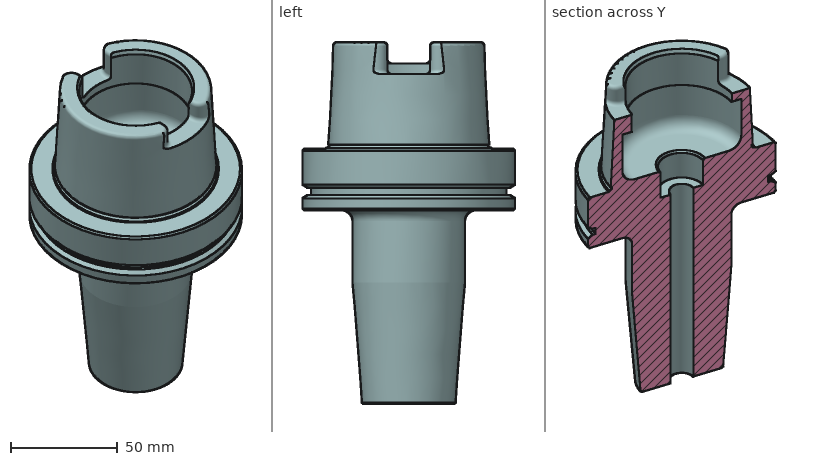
import cadquery as cq
import math


TAPER_TOP = 50.0
GAUGE_DIAMETER = 75.0
GAUGE_Z = 10.0
TAPER_BOTTOM = 2.0
TAPER_RATE = 1 / 20
RIM_ROUND = 2.0

NECK_DIAMETER = 74.6
NECK_FILLET = 1.4
NECK_CHAMFER = 0.4

FLANGE_DIAMETER = 100.0
FLANGE_THICKNESS = 29.0
FLANGE_CHAMFER = 1.0
GROOVE_DIAMETER = 92.0
GROOVE_CENTRE_Z = -20.1
GROOVE_FLOOR_WIDTH = 3.2
GROOVE_MOUTH_WIDTH = 6.4
GROOVE_LIP_RADIUS = 47.5

SHANK_DIAMETER = 53.0
SHANK_FILLET = 5.0
SHANK_TAPER_START = -63.0
SHANK_BOTTOM = -120.0
SHANK_TAPER_ANGLE = 4.5
SHANK_CHAMFER = 0.8

MOUTH_DIAMETER = 53.0
MOUTH_CHAMFER_WIDTH = 1.0
MOUTH_CHAMFER_DEPTH = 2.0
CHAMBER_DIAMETER = 63.0
CHAMBER_TOP = 30.0
CHAMBER_FLOOR = 2.8
CHAMBER_FILLET = 6.5
SEAT_DIAMETER = 22.5
SEAT_MOUTH_DIAMETER = 24.5
SEAT_DEPTH = 15.0
COOLANT_DIAMETER = 12.0

SLOT_WIDTH = 20.0
SLOT_CORNER_RADIUS = 5.0
SLOT_CORNER_X = 27.1
SLOT_ROUND = 2.0
SLOT_FLOOR_NEGATIVE_X = 35.0
SLOT_FLOOR_POSITIVE_X = 40.0


def taper_radius(z):
    return GAUGE_DIAMETER / 2 - (z - GAUGE_Z) * TAPER_RATE


def make_outer_body():
    flange_radius = FLANGE_DIAMETER / 2
    flange_bottom = -FLANGE_THICKNESS
    groove_radius = GROOVE_DIAMETER / 2
    groove_floor_half = GROOVE_FLOOR_WIDTH / 2
    groove_mouth_half = GROOVE_MOUTH_WIDTH / 2
    shank_radius = SHANK_DIAMETER / 2
    taper_drop = SHANK_TAPER_START - SHANK_BOTTOM
    tip_slope = math.tan(math.radians(SHANK_TAPER_ANGLE))
    tip_radius = shank_radius - taper_drop * tip_slope
    fillet_diagonal = math.sqrt(0.5)

    neck_radius = NECK_DIAMETER / 2
    neck_fillet_x = neck_radius + NECK_FILLET
    neck_fillet_z = NECK_CHAMFER + NECK_FILLET
    shank_fillet_x = shank_radius + SHANK_FILLET
    shank_fillet_z = flange_bottom - SHANK_FILLET

    rim_round_z = TAPER_TOP - RIM_ROUND
    rim_radius = taper_radius(rim_round_z)

    profile = (
        cq.Workplane("XZ")
        .moveTo(0, TAPER_TOP)
        .lineTo(rim_radius - RIM_ROUND, TAPER_TOP)
        .tangentArcPoint((rim_radius, rim_round_z), relative=False)
        .lineTo(taper_radius(TAPER_BOTTOM), TAPER_BOTTOM)
        .lineTo(neck_radius, neck_fillet_z)
        .threePointArc(
            (neck_fillet_x - NECK_FILLET * fillet_diagonal, neck_fillet_z - NECK_FILLET * fillet_diagonal),
            (neck_fillet_x, neck_fillet_z - NECK_FILLET),
        )
        .lineTo(neck_fillet_x + NECK_CHAMFER, 0)
        .lineTo(flange_radius - FLANGE_CHAMFER, 0)
        .lineTo(flange_radius, -FLANGE_CHAMFER)
        .lineTo(flange_radius, GROOVE_CENTRE_Z + groove_mouth_half)
        .lineTo(GROOVE_LIP_RADIUS, GROOVE_CENTRE_Z + groove_floor_half)
        .lineTo(groove_radius, GROOVE_CENTRE_Z + groove_floor_half)
        .lineTo(groove_radius, GROOVE_CENTRE_Z - groove_floor_half)
        .lineTo(GROOVE_LIP_RADIUS, GROOVE_CENTRE_Z - groove_floor_half)
        .lineTo(flange_radius, GROOVE_CENTRE_Z - groove_mouth_half)
        .lineTo(flange_radius, flange_bottom + FLANGE_CHAMFER)
        .lineTo(flange_radius - FLANGE_CHAMFER, flange_bottom)
        .lineTo(shank_fillet_x, flange_bottom)
        .threePointArc(
            (shank_fillet_x - SHANK_FILLET * fillet_diagonal, shank_fillet_z + SHANK_FILLET * fillet_diagonal),
            (shank_radius, shank_fillet_z),
        )
        .lineTo(shank_radius, SHANK_TAPER_START)
        .lineTo(tip_radius + SHANK_CHAMFER * tip_slope, SHANK_BOTTOM + SHANK_CHAMFER)
        .lineTo(tip_radius - SHANK_CHAMFER, SHANK_BOTTOM)
        .lineTo(0, SHANK_BOTTOM)
        .close()
    )
    return profile.revolve(360, (0, 0, 0), (0, 1, 0))


def make_interior():
    mouth_radius = MOUTH_DIAMETER / 2
    chamber_radius = CHAMBER_DIAMETER / 2
    chamber_fillet_x = chamber_radius - CHAMBER_FILLET
    chamber_fillet_z = CHAMBER_FLOOR + CHAMBER_FILLET
    fillet_diagonal = CHAMBER_FILLET * math.sqrt(0.5)
    seat_radius = SEAT_DIAMETER / 2
    seat_mouth_radius = SEAT_MOUTH_DIAMETER / 2
    seat_chamfer = seat_mouth_radius - seat_radius
    seat_floor = CHAMBER_FLOOR - SEAT_DEPTH
    coolant_radius = COOLANT_DIAMETER / 2

    profile = (
        cq.Workplane("XZ")
        .moveTo(0, TAPER_TOP)
        .lineTo(mouth_radius + MOUTH_CHAMFER_WIDTH, TAPER_TOP)
        .lineTo(mouth_radius, TAPER_TOP - MOUTH_CHAMFER_DEPTH)
        .lineTo(mouth_radius, CHAMBER_TOP)
        .lineTo(chamber_radius, CHAMBER_TOP)
        .lineTo(chamber_radius, chamber_fillet_z)
        .threePointArc(
            (chamber_fillet_x + fillet_diagonal, chamber_fillet_z - fillet_diagonal),
            (chamber_fillet_x, CHAMBER_FLOOR),
        )
        .lineTo(seat_mouth_radius, CHAMBER_FLOOR)
        .lineTo(seat_radius, CHAMBER_FLOOR - seat_chamfer)
        .lineTo(seat_radius, seat_floor)
        .lineTo(coolant_radius, seat_floor)
        .lineTo(coolant_radius, SHANK_BOTTOM)
        .lineTo(0, SHANK_BOTTOM)
        .close()
    )
    return profile.revolve(360, (0, 0, 0), (0, 1, 0))


def make_slot_cutter(floor_z):
    """Slot on the +X side that opens out past its corners to the full outside of the taper.

    A block loses the two rim ends (jaws) that stay standing beside the slot.
    """
    half_width = SLOT_WIDTH / 2
    corner_end_x = SLOT_CORNER_X + SLOT_CORNER_RADIUS
    corner_end_y = half_width + SLOT_CORNER_RADIUS
    reach = FLANGE_DIAMETER / 2
    height = TAPER_TOP - floor_z

    block = (
        cq.Workplane("XY", origin=(0, 0, floor_z))
        .rect(reach, 2 * reach)
        .extrude(height)
        .translate((reach / 2, 0, 0))
    )
    jaw = (
        cq.Workplane("XY", origin=(0, 0, floor_z))
        .moveTo(0, half_width)
        .lineTo(SLOT_CORNER_X, half_width)
        .tangentArcPoint((corner_end_x, corner_end_y), relative=False)
        .lineTo(corner_end_x, reach)
        .lineTo(0, reach)
        .close()
        .extrude(height)
    )
    jaw = jaw.faces(">Z").edges("<Y").fillet(SLOT_ROUND)
    slot = block.cut(jaw).cut(jaw.mirror("XZ"))
    wall_foot = slot.faces("<Z").edges("|X").edges(cq.selectors.BoxSelector(
        (0, -corner_end_y, floor_z - SLOT_ROUND),
        (reach, corner_end_y, floor_z + SLOT_ROUND),
    ))
    return wall_foot.fillet(SLOT_ROUND)


def cut_drive_slots(body):
    slot = make_slot_cutter(SLOT_FLOOR_POSITIVE_X)
    opposite_slot = make_slot_cutter(SLOT_FLOOR_NEGATIVE_X).rotate((0, 0, 0), (0, 0, 1), 180)
    return body.cut(slot).cut(opposite_slot)


result = cut_drive_slots(make_outer_body()).cut(make_interior())